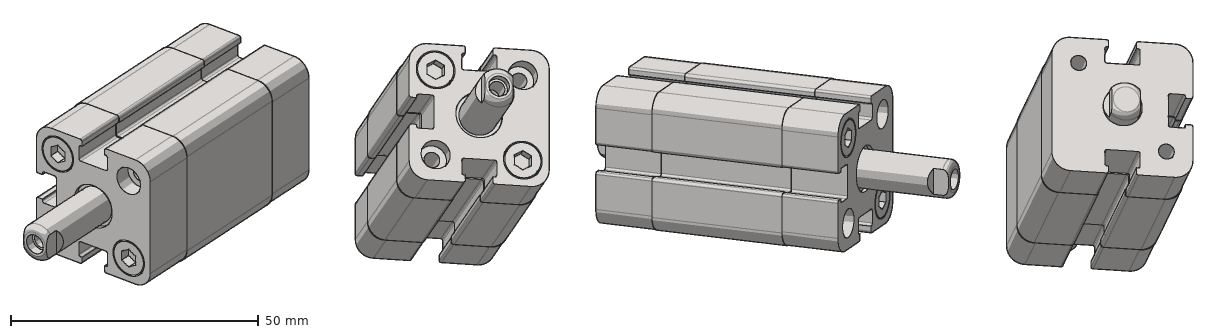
import cadquery as cq
import math

total_length = 77
front_reach = 19.5
rear_reach = 4.5
front_cap_length = 12.25
rear_cap_length = 12.3

tube_side = 29.0
cap_side = 28.95
cap_corner_radius = 3.8
tube_corner_radius = 3.55

cap_mouth = 5.7
cap_lip_round = 0.5
cap_channel = 7.2
cap_slot_depth = 5.1
tube_mouth = 5.4
tube_lip_round = 0.655
tube_channel = 6.85
tube_slot_depth = 4.85
lip_thickness = 1.55
channel_round = 0.5
slot_angles = (0, 90, 180)

hole_offset = 9.0
through_diameter = 3.2
counterbore_diameter = 6.0
counterbore_depth = 3.7
screw_pocket_diameter = 8.0
screw_head_diameter = 7.5
screw_gap_depth = 3.1
hex_sides = 6
hex_flats = 3.55
hex_depth = 2.3

rod_diameter = 8.0
rod_end_round = 1.3
recess_diameter = 9.6
recess_depth = 0.9
wrench_flats = 5.85
flat_length = 3.3
flat_ramp = 0.9
thread_entry_diameter = 4.2
thread_entry_depth = 2.0
thread_core_diameter = 3.2
thread_depth = 7.7
drill_tip_angle = 118

front_tip = -total_length / 2
rear_tip = total_length / 2
front_face = front_tip + front_reach
rear_face = rear_tip - rear_reach
tube_front = front_face + front_cap_length
tube_rear = rear_face - rear_cap_length


def section_plane(y):
    """Plane square to the rod at y, with local X = X, local Y = Z and its normal toward -Y."""
    return cq.Workplane("XZ", origin=(0, y, 0))


def cylinder(diameter, y_start, y_end, x=0, z=0):
    return section_plane(y_start).center(x, z).circle(diameter / 2).extrude(y_start - y_end)


def slot_cutter(half_side, mouth, channel, depth, lip_round, y_start, y_end):
    """Slot opening on the +Z side, with rounded outer lip edges and rounded channel corners."""
    mouth_half = mouth / 2
    channel_half = channel / 2
    floor = half_side - depth
    lip_back = half_side - lip_thickness
    arc_inset = lip_round * (1 - math.sqrt(0.5))
    half_slot = (
        section_plane(y_start)
        .moveTo(0, floor)
        .lineTo(channel_half, floor)
        .lineTo(channel_half, lip_back)
        .lineTo(mouth_half, lip_back)
        .lineTo(mouth_half, half_side - lip_round)
        .threePointArc((mouth_half + arc_inset, half_side - arc_inset), (mouth_half + lip_round, half_side))
        .lineTo(0, half_side)
        .close()
        .extrude(y_start - y_end)
    )
    half_slot = half_slot.edges("|Y").edges(">X").fillet(channel_round)
    return half_slot.union(half_slot.mirror("YZ"))


def body_segment(y_start, y_end, side, corner_radius, slot_sizes):
    """Rounded square length of body with slots at the top, the left and the bottom."""
    segment = section_plane(y_start).rect(side, side).extrude(y_start - y_end)
    segment = segment.edges("|Y").fillet(corner_radius)
    cutter = slot_cutter(side / 2, *slot_sizes, y_start, y_end)
    for angle in slot_angles:
        segment = segment.cut(cutter.rotate((0, 0, 0), (0, -1, 0), angle))
    return segment


def make_body():
    cap_slot = (cap_mouth, cap_channel, cap_slot_depth, cap_lip_round)
    tube_slot = (tube_mouth, tube_channel, tube_slot_depth, tube_lip_round)
    front_cap = body_segment(front_face, tube_front, cap_side, cap_corner_radius, cap_slot)
    tube = body_segment(tube_front, tube_rear, tube_side, tube_corner_radius, tube_slot)
    rear_cap = body_segment(tube_rear, rear_face, cap_side, cap_corner_radius, cap_slot)
    return front_cap.union(tube).union(rear_cap)


def mounting_hole(x, z):
    through = cylinder(through_diameter, front_face, rear_face, x, z)
    counterbore = cylinder(counterbore_diameter, front_face, front_face + counterbore_depth, x, z)
    return through.union(counterbore)


def screw_gaps(x, z):
    """Ring gap around a flush screw head, with the hexagon socket in the head."""
    gap_end = front_face + screw_gap_depth
    ring = cylinder(screw_pocket_diameter, front_face, gap_end, x, z)
    ring = ring.cut(cylinder(screw_head_diameter, front_face, gap_end, x, z))
    hex_corners = hex_flats / math.cos(math.pi / hex_sides)
    socket = section_plane(front_face).center(x, z).transformed(rotate=(0, 0, 90))
    return ring.union(socket.polygon(hex_sides, hex_corners).extrude(-hex_depth))


def flat_cutter(tip, inward):
    """Pair of cuts leaving two wrench flats; inward is +1 or -1, the way from the tip along Y."""
    flat_x = wrench_flats / 2
    rod_x = rod_diameter / 2
    flat_end = tip + inward * flat_length
    side = cq.Workplane("XY", origin=(0, 0, -rod_x)).polyline([
        (flat_x, tip),
        (flat_x, flat_end),
        (rod_x, flat_end + inward * flat_ramp),
        (rod_x, tip),
    ]).close().extrude(rod_diameter)
    return side.union(side.mirror("YZ"))


def threaded_hole():
    """Stepped blind hole in the front rod tip, ending in a drill cone."""
    entry_radius = thread_entry_diameter / 2
    core_radius = thread_core_diameter / 2
    step = front_tip + thread_entry_depth
    bottom = front_tip + thread_depth
    cone_tip = bottom + core_radius / math.tan(math.radians(drill_tip_angle / 2))
    profile = cq.Workplane("XY").polyline([
        (0, front_tip),
        (entry_radius, front_tip),
        (entry_radius, step),
        (core_radius, step),
        (core_radius, bottom),
        (0, cone_tip),
    ]).close()
    return profile.revolve(360, (0, 0), (0, 1))


def make_rod():
    rod = cylinder(rod_diameter, front_tip, rear_tip).edges("%CIRCLE").fillet(rod_end_round)
    rod = rod.cut(flat_cutter(front_tip, 1)).cut(flat_cutter(rear_tip, -1))
    return rod.cut(threaded_hole())


body = make_body()
body = body.cut(cylinder(recess_diameter, front_face, front_face + recess_depth))
for side in (1, -1):
    body = body.cut(mounting_hole(side * hole_offset, side * hole_offset))
    body = body.cut(screw_gaps(-side * hole_offset, side * hole_offset))

result = body.union(make_rod())